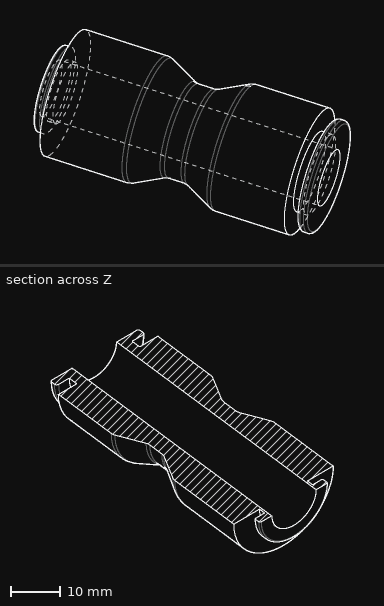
import cadquery as cq


LENGTH = 60.9
BORE_DIAMETER = 12.0

BODY_START = 3.15
BODY_END = 56.7
SLEEVE_RADIUS = 13.5
WAIST_RADIUS = 10.05
LEFT_SLEEVE_END = 21.6
RIGHT_SLEEVE_START = 40.05
TAPER_LENGTH = 6.95
TAPER_FILLET = 2.0

LEFT_NECK_RADIUS = 6.6
LEFT_RIM_RADIUS = 9.25
LEFT_RIM_THICKNESS = 1.7
LEFT_RIM_FILLET = 0.35

RIGHT_NECK_RADIUS = 8.6
RIGHT_RIM_RADIUS = 12.05
RIGHT_RIM_THICKNESS = 2.0
RIGHT_RIM_FILLET = 0.6


def cylinder(start, end, radius):
    """Solid cylinder about the X axis between two X positions."""
    return cq.Workplane("YZ", origin=(start, 0, 0)).circle(radius).extrude(end - start)


def make_body():
    """Two sleeves and a waist, with the taper corners blended."""
    waist_start = LEFT_SLEEVE_END + TAPER_LENGTH
    waist_end = RIGHT_SLEEVE_START - TAPER_LENGTH
    profile = [
        (BODY_START, 0),
        (BODY_START, SLEEVE_RADIUS),
        (LEFT_SLEEVE_END, SLEEVE_RADIUS),
        (waist_start, WAIST_RADIUS),
        (waist_end, WAIST_RADIUS),
        (RIGHT_SLEEVE_START, SLEEVE_RADIUS),
        (BODY_END, SLEEVE_RADIUS),
        (BODY_END, 0),
    ]
    body = cq.Workplane("XY").polyline(profile).close().revolve(360, (0, 0, 0), (1, 0, 0))

    taper_edges = body.edges("%CIRCLE").edges("not(<X or >X)")
    return taper_edges.fillet(TAPER_FILLET)


def make_rim(start, end, radius, fillet):
    """Collar rim with both outer edges rounded."""
    return cylinder(start, end, radius).edges("%CIRCLE").fillet(fillet)


left_neck = cylinder(LEFT_RIM_THICKNESS / 2, BODY_START, LEFT_NECK_RADIUS)
left_rim = make_rim(0, LEFT_RIM_THICKNESS, LEFT_RIM_RADIUS, LEFT_RIM_FILLET)

right_rim_start = LENGTH - RIGHT_RIM_THICKNESS
right_rim_middle = LENGTH - RIGHT_RIM_THICKNESS / 2
right_neck = cylinder(BODY_END, right_rim_middle, RIGHT_NECK_RADIUS)
right_rim = make_rim(right_rim_start, LENGTH, RIGHT_RIM_RADIUS, RIGHT_RIM_FILLET)

outside = make_body().union(left_neck).union(left_rim).union(right_neck).union(right_rim)

result = outside.cut(cylinder(0, LENGTH, BORE_DIAMETER / 2))